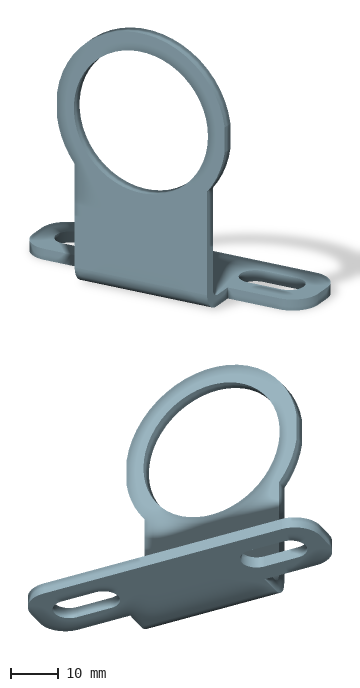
import cadquery as cq

thickness = 2.5
bend_inner_radius = 2.0
bend_outer_radius = 4.0

depth = 25.0

base_length = 68.0
base_width = 16.0
base_corner_radius = 6.0
slot_length = 15.0
slot_width = 7.0
slot_spacing = 44.0

upright_width = 31.6
bore_diameter = 32.0
ring_radius = 20.2
ring_width = 40.0
ring_center_z = 40.0


def make_base():
    """Rounded plate with its back edge at Y = depth and its underside at Z = 0."""
    base_center_y = depth - base_width / 2
    plate = (
        cq.Workplane("XY")
        .center(0, base_center_y)
        .rect(base_length, base_width)
        .extrude(thickness)
        .edges("|Z")
        .fillet(base_corner_radius)
    )
    slots = (
        cq.Workplane("XY")
        .center(0, base_center_y)
        .rarray(slot_spacing, 1, 2, 1)
        .slot2D(slot_length, slot_width)
        .extrude(thickness)
    )
    return plate.cut(slots)


def make_bent_strip():
    """L-shaped strip from the ring axis down and back into the base, bent about an X-parallel line."""
    inner_bend_end = thickness + bend_inner_radius
    strip_end_y = depth - base_width / 2 - slot_width / 2
    return (
        cq.Workplane("YZ")
        .moveTo(0, ring_center_z)
        .lineTo(0, bend_outer_radius)
        .radiusArc((bend_outer_radius, 0), -bend_outer_radius)
        .lineTo(strip_end_y, 0)
        .lineTo(strip_end_y, thickness)
        .lineTo(inner_bend_end, thickness)
        .radiusArc((thickness, inner_bend_end), bend_inner_radius)
        .lineTo(thickness, ring_center_z)
        .close()
        .extrude(upright_width / 2, both=True)
    )


def upright_cylinder(radius):
    """Disc through the upright's thickness, centred on the ring axis."""
    return (
        cq.Workplane("XZ", origin=(0, 0, ring_center_z))
        .circle(radius)
        .extrude(-thickness)
    )


def make_ring_disc():
    """Ring blank with its two sides trimmed to the ring width."""
    trim = cq.Workplane("XY", origin=(0, 0, ring_center_z)).box(ring_width, depth, 2 * ring_radius)
    return upright_cylinder(ring_radius).intersect(trim)


bracket = make_base().union(make_bent_strip()).union(make_ring_disc())
result = bracket.cut(upright_cylinder(bore_diameter / 2))